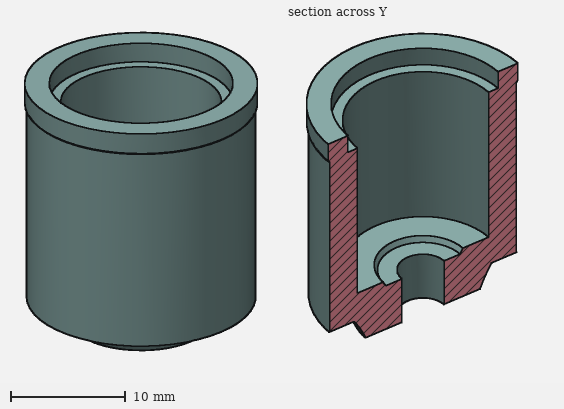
import cadquery as cq
import math

total_height = 22.9
nose_height = 2.3

body_radius = 10.0
flange_radius = 10.15
flange_height = 1.9
flange_chamfer = flange_radius - body_radius
nose_bottom_radius = 6.12
nose_top_radius = 7.35
nose_hollow = 0.08

mouth_radius = 8.0
mouth_depth = 1.8
bore_radius = 7.0
floor_thickness = 3.0

recess_top_radius = 4.25
recess_bottom_radius = 3.95
recess_wall_angle = 60
hole_radius = 2.25

flange_bottom = total_height - flange_height
chamfer_bottom = flange_bottom - flange_chamfer
mouth_floor = total_height - mouth_depth
bore_floor = nose_height + floor_thickness
recess_taper = recess_top_radius - recess_bottom_radius
recess_depth = recess_taper * math.tan(math.radians(recess_wall_angle))
recess_floor = bore_floor - recess_depth

nose_mid_radius = (nose_bottom_radius + nose_top_radius) / 2 - nose_hollow


def make_profile():
    """Half section of the bushing: x is the radius, y is the height."""
    return (
        cq.Workplane("XZ")
        .moveTo(hole_radius, 0)
        .lineTo(nose_bottom_radius, 0)
        .threePointArc((nose_mid_radius, nose_height / 2), (nose_top_radius, nose_height))
        .lineTo(body_radius, nose_height)
        .lineTo(body_radius, chamfer_bottom)
        .lineTo(flange_radius, flange_bottom)
        .lineTo(flange_radius, total_height)
        .lineTo(mouth_radius, total_height)
        .lineTo(mouth_radius, mouth_floor)
        .lineTo(bore_radius, mouth_floor)
        .lineTo(bore_radius, bore_floor)
        .lineTo(recess_top_radius, bore_floor)
        .lineTo(recess_bottom_radius, recess_floor)
        .lineTo(hole_radius, recess_floor)
        .close()
    )


axis_start = (0, 0)
axis_end = (0, 1)
full_turn = 360

result = make_profile().revolve(full_turn, axis_start, axis_end)